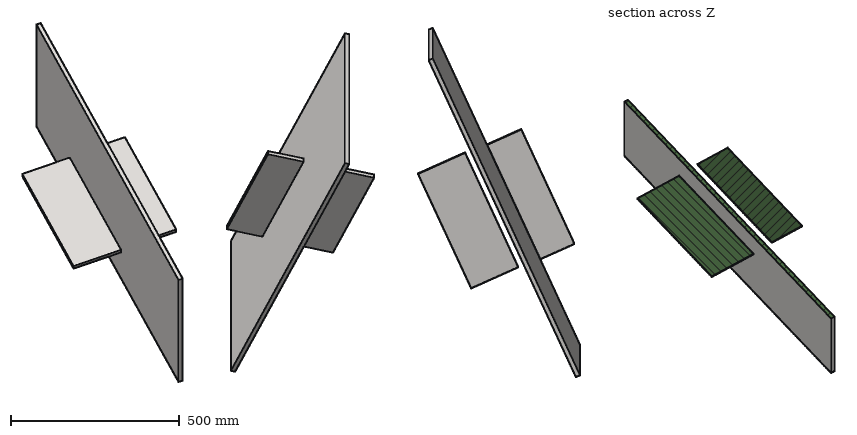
import cadquery as cq

panel_length = 1052.0
panel_height = 490.0
panel_thickness = 14.0

shelf_length = 380.0
shelf_thickness = 13.0
front_shelf_depth = 154.0
rear_shelf_depth = 112.0
front_gap = 37.0
rear_gap = 19.0
front_shelf_x = -5.0
rear_shelf_x = -10.0
shelf_z = 4.0


def make_panel():
    return cq.Workplane("XY").box(panel_length, panel_thickness, panel_height)


def make_shelf(depth, center_x, center_y):
    shelf = cq.Workplane("XY").box(shelf_length, depth, shelf_thickness)
    return shelf.translate((center_x, center_y, shelf_z))


panel = make_panel()
front_shelf_y = -(panel_thickness / 2 + front_gap + front_shelf_depth / 2)
rear_shelf_y = panel_thickness / 2 + rear_gap + rear_shelf_depth / 2
front_shelf = make_shelf(front_shelf_depth, front_shelf_x, front_shelf_y)
rear_shelf = make_shelf(rear_shelf_depth, rear_shelf_x, rear_shelf_y)

result = cq.Compound.makeCompound([panel.val(), front_shelf.val(), rear_shelf.val()])